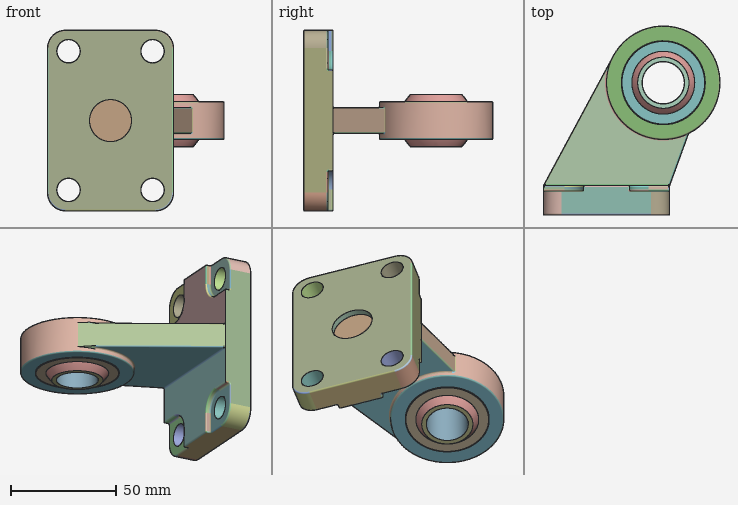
import cadquery as cq
import math


plate_width = 60.0
plate_height = 86.0
plate_thickness = 14.0
plate_corner_radius = 8.7
edge_round = 0.6

bolt_spacing_x = 40.0
bolt_spacing_z = 66.0
bolt_hole_diameter = 11.0
seat_radius = 9.0
seat_depth = 2.5

recess_diameter = 20.0
recess_depth = 3.0

eye_x = 27.0
eye_y = 63.0
eye_radius = 27.0
eye_thickness = 18.0
arm_thickness = 12.3
arm_right_lean = 20.0

ring_radius = 20.0
ring_chamfer = 0.315
ball_radius = 17.5
ball_length = 25.0
ball_bore_radius = 10.0


def cylinder_at_eye(radius, length):
    """Cylinder on the eye axis, centred on Z = 0."""
    return (
        cq.Workplane("XY", origin=(eye_x, eye_y, -length / 2))
        .circle(radius)
        .extrude(length)
    )


def sphere_at_eye(radius):
    """Sphere on the centre of the eye."""
    return cq.Workplane("XY", origin=(eye_x, eye_y, 0)).sphere(radius)


def plate_blank():
    """Plate with rounded corners and a rounded rim on the mounting face."""
    return (
        cq.Workplane("XY")
        .box(plate_width, plate_thickness, plate_height, centered=(True, False, True))
        .edges("|Y")
        .fillet(plate_corner_radius)
        .faces("<Y")
        .edges()
        .fillet(edge_round)
    )


def seat_cutter(side_x, side_z):
    """Corner seat around one bolt hole: open to two plate sides, with a rounded inner corner."""
    hole_x = bolt_spacing_x / 2
    hole_z = bolt_spacing_z / 2
    size_x = plate_width / 2 - hole_x + seat_radius
    size_z = plate_height / 2 - hole_z + seat_radius
    cutter = (
        cq.Workplane("XY")
        .box(size_x, plate_thickness, size_z, centered=False)
        .translate((hole_x - seat_radius, plate_thickness - seat_depth, hole_z - seat_radius))
        .edges("|Y and <X and <Z")
        .fillet(seat_radius)
        .faces("<Y")
        .edges("not(>X or >Z)")
        .fillet(edge_round)
    )
    if side_x < 0:
        cutter = cutter.mirror("YZ")
    if side_z < 0:
        cutter = cutter.mirror("XY")
    return cutter


def round_seat_edges(plate):
    """Round the seat outlines on the back face and where the seats break out of the plate sides."""
    back_edges = plate.faces(">Y").edges("not(<X or >X)")
    seat_band = cq.selectors.BoxSelector(
        (-plate_width, plate_thickness - seat_depth - edge_round, -plate_height),
        (plate_width, plate_thickness - edge_round, plate_height),
    )
    breakout_edges = plate.faces("<X or >X or <Z or >Z").edges(seat_band)
    return back_edges.add(breakout_edges).fillet(edge_round)


def make_plate():
    """Mounting plate with its four corner seats, before drilling."""
    plate = plate_blank()
    for side_x in (-1, 1):
        for side_z in (-1, 1):
            plate = plate.cut(seat_cutter(side_x, side_z))
    return round_seat_edges(plate)


def arm_slab(thickness):
    """Arm outline as a slab: tangent to the eye on the left, a straight leaning edge on the right."""
    foot_x = plate_width / 2
    run = eye_x + foot_x
    rise = eye_y - plate_thickness
    tangent_angle = math.atan2(rise, run) + math.asin(eye_radius / math.hypot(run, rise))
    tangent_point = (
        eye_x - eye_radius * math.sin(tangent_angle),
        eye_y + eye_radius * math.cos(tangent_angle),
    )
    right_end = (foot_x + rise * math.tan(math.radians(arm_right_lean)), eye_y)
    return (
        cq.Workplane("XY", origin=(0, 0, -thickness / 2))
        .moveTo(-foot_x, plate_thickness)
        .lineTo(foot_x, plate_thickness)
        .lineTo(*right_end)
        .lineTo(eye_x, eye_y)
        .lineTo(*tangent_point)
        .close()
        .extrude(thickness)
    )


def make_arm_with_eye():
    """Arm joined to the eye, with the outer edges rounded and the joint between them filleted."""
    arm = arm_slab(arm_thickness).union(cylinder_at_eye(eye_radius, eye_thickness))
    outline_edges = arm.edges("not(|Z or <Y)")
    right_joint = arm.edges("|Z and (not <Y)").edges("<Y")
    return outline_edges.add(right_joint).fillet(edge_round)


def make_arm_root():
    """Fillet strips along the foot of the arm, above and below it."""
    fillet_y = plate_thickness + edge_round
    fillet_z = arm_thickness / 2 + edge_round
    strip = cq.Workplane("XY").box(plate_width, edge_round, 2 * fillet_z)
    strip = strip.translate((0, plate_thickness + edge_round / 2, 0))
    hollows = (
        cq.Workplane("YZ", origin=(-plate_width / 2, 0, 0))
        .pushPoints([(fillet_y, -fillet_z), (fillet_y, fillet_z)])
        .circle(edge_round)
        .extrude(plate_width)
    )
    return strip.intersect(arm_slab(2 * fillet_z)).cut(hollows)


def make_plate_holes():
    """Four through bolt holes and the shallow recess in the mounting face."""
    bolt_holes = (
        cq.Workplane("XZ")
        .rect(bolt_spacing_x, bolt_spacing_z, forConstruction=True)
        .vertices()
        .circle(bolt_hole_diameter / 2)
        .extrude(-plate_thickness)
    )
    recess = cq.Workplane("XZ").circle(recess_diameter / 2).extrude(-recess_depth)
    return bolt_holes.add(recess)


def make_housing():
    """Bracket: plate, arm and eye in one piece, bored for the bearing ring."""
    housing = make_plate().union(make_arm_with_eye()).union(make_arm_root())
    for hole in make_plate_holes().vals():
        housing = housing.cut(cq.Workplane(hole))
    return housing.cut(cylinder_at_eye(ring_radius, eye_thickness))


def make_bearing_ring():
    """Outer ring, flush with the eye and lightly chamfered, with a spherical seat for the ball."""
    ring = cylinder_at_eye(ring_radius, eye_thickness).edges("%CIRCLE").chamfer(ring_chamfer)
    return ring.cut(sphere_at_eye(ball_radius))


def make_ball():
    """Ball with flat ends and a through bore."""
    ball = sphere_at_eye(ball_radius).intersect(cylinder_at_eye(ball_radius, ball_length))
    return ball.cut(cylinder_at_eye(ball_bore_radius, ball_length))


housing = make_housing()
bearing_ring = make_bearing_ring()
ball = make_ball()

result = cq.Compound.makeCompound([housing.solids().val(), bearing_ring.solids().val(), ball.solids().val()])